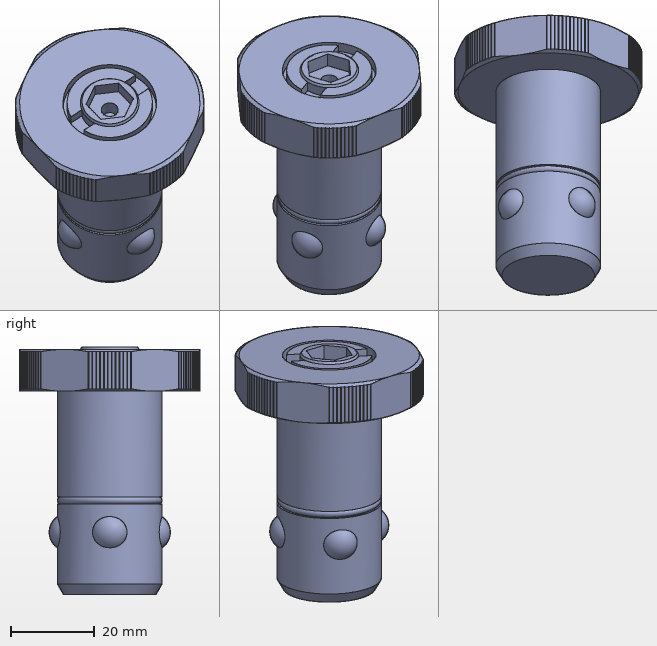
import cadquery as cq
import math

shaft_diameter = 25.0
shaft_length = 48.5
tip_taper_depth = 1.5
tip_taper_angle = 60
o_ring_section = 1.8
o_ring_height = 22.45

ball_diameter = 9.0
ball_pitch_radius = 10.0
ball_height = 14.9
ball_count = 4

head_diameter = 45.0
head_across_flats = 43.0
button_rise = 0.6
total_height = 59.1
head_bevel_angle = 30
flat_count = 6

knurls_per_stretch = 12
knurl_width = 0.2
knurl_depth = 0.1

recess_diameter = 22.3
recess_depth = 2.5
ring_diameter = 20.35
ring_slot_width = 4.95
button_diameter = 14.0
button_top_diameter = 13.25
hex_across_flats = 9.85
hex_depth = 3.5
hole_diameter = 3.95
hole_depth = hole_diameter

shaft_radius = shaft_diameter / 2
head_radius = head_diameter / 2
head_top = total_height - button_rise
head_thickness = head_top - shaft_length
recess_floor = head_top - recess_depth


def cylinder(diameter, bottom, height):
    return cq.Workplane("XY").workplane(offset=bottom).circle(diameter / 2).extrude(height)


def hexagon_prism(across_flats, bottom, height):
    """Six-sided prism with flats facing +Y and -Y."""
    across_corners = across_flats / math.cos(math.pi / 6)
    return cq.Workplane("XY").workplane(offset=bottom).polygon(6, across_corners).extrude(height)


def make_shaft():
    """Tapered shaft with an O-ring seated flush in its groove."""
    taper_height = tip_taper_depth * math.tan(math.radians(tip_taper_angle))
    o_ring_radius = o_ring_section / 2
    groove_bottom = o_ring_height - o_ring_radius
    groove_top = o_ring_height + o_ring_radius
    groove_radius = shaft_radius - o_ring_radius
    return (
        cq.Workplane("XZ")
        .lineTo(shaft_radius - tip_taper_depth, 0)
        .lineTo(shaft_radius, taper_height)
        .lineTo(shaft_radius, groove_bottom)
        .lineTo(groove_radius, groove_bottom)
        .threePointArc((shaft_radius, o_ring_height), (groove_radius, groove_top))
        .lineTo(shaft_radius, groove_top)
        .lineTo(shaft_radius, shaft_length)
        .lineTo(0, shaft_length)
        .close()
        .revolve(360, (0, 0, 0), (0, 1, 0))
    )


def make_balls():
    return (
        cq.Workplane("XY")
        .workplane(offset=ball_height)
        .polarArray(ball_pitch_radius, 0, 360, ball_count)
        .sphere(ball_diameter / 2)
    )


def make_knurls():
    """Cutters for the V-shaped grooves, evenly spaced from one flat to the next."""
    flat_half_angle = math.degrees(math.acos(head_across_flats / head_diameter))
    flat_pitch = 360 / flat_count
    stretch_angle = flat_pitch - 2 * flat_half_angle
    cutter = (
        cq.Workplane("XY")
        .workplane(offset=shaft_length)
        .polyline([
            (head_radius - knurl_depth, 0),
            (head_radius + knurl_depth, knurl_width),
            (head_radius + knurl_depth, -knurl_width),
        ])
        .close()
        .extrude(head_thickness)
    )
    cutters = cq.Workplane("XY")
    for stretch in range(flat_count):
        for knurl in range(knurls_per_stretch):
            position = knurl / (knurls_per_stretch - 1) - 0.5
            angle = stretch * flat_pitch + position * stretch_angle
            cutters = cutters.add(cutter.rotate((0, 0, 0), (0, 0, 1), angle))
    return cutters.combine(clean=False)


def make_head():
    bevel_depth = (head_diameter - head_across_flats) / 2
    bevel_height = bevel_depth * math.tan(math.radians(head_bevel_angle))
    disc = (
        cylinder(head_diameter, shaft_length, head_thickness)
        .edges()
        .chamfer(bevel_height, bevel_depth)
    )
    flats = hexagon_prism(head_across_flats, shaft_length, head_thickness)
    return disc.intersect(flats).cut(make_knurls())


def make_slotted_ring():
    ring = cylinder(ring_diameter, recess_floor, recess_depth)
    slot = (
        cq.Workplane("XY")
        .workplane(offset=recess_floor)
        .rect(ring_slot_width, ring_diameter)
        .extrude(recess_depth)
    )
    return ring.cut(slot)


def make_button():
    """Push button with a cone above the head face."""
    body = cylinder(button_diameter, recess_floor, recess_depth)
    cone = (
        cq.Workplane("XY")
        .workplane(offset=head_top)
        .circle(button_diameter / 2)
        .workplane(offset=button_rise)
        .circle(button_top_diameter / 2)
        .loft()
    )
    return body.union(cone)


def make_socket():
    """Hexagon socket with a round blind hole in its floor."""
    socket_floor = total_height - hex_depth
    hexagon = hexagon_prism(hex_across_flats, socket_floor, hex_depth)
    hole = cylinder(hole_diameter, socket_floor - hole_depth, hole_depth)
    return hexagon.union(hole)


recess = cylinder(recess_diameter, recess_floor, recess_depth)
head = make_head().cut(recess).union(make_slotted_ring()).union(make_button())
result = make_shaft().union(make_balls()).union(head).cut(make_socket())